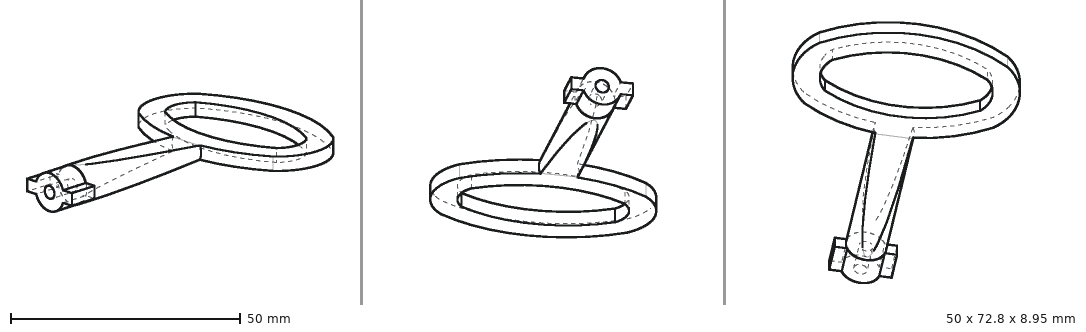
import cadquery as cq

total_length = 72.8

handle_width = 50.0
handle_height = 30.9
handle_thickness = 3.35
band_width = 6.0
outer_corner = (20.8, 9.25)
inner_corner = (17.2, 4.65)
handle_center_y = total_length - handle_height / 2
handle_bottom_y = total_length - handle_height

shank_diameter = 8.95
flat_end_y = 7.9
shank_overlap = 1.45

tip_diameter = 8.8
tip_length = 7.0
wing_span = 13.8
wing_thickness = 2.9
bore_diameter = 3.0
bore_depth = tip_length


def oval(half_width, half_height, corner):
    """Solid oval of four arcs meeting at four symmetric corners."""
    x, y = corner
    return (
        cq.Workplane("XY")
        .center(0, handle_center_y)
        .moveTo(x, y)
        .threePointArc((0, half_height), (-x, y))
        .threePointArc((-half_width, 0), (-x, -y))
        .threePointArc((0, -half_height), (x, -y))
        .threePointArc((half_width, 0), (x, y))
        .close()
        .extrude(handle_thickness / 2, both=True)
    )


def rod(diameter, start_y, end_y):
    """Round bar along Y."""
    return (
        cq.Workplane("XZ", origin=(0, start_y, 0))
        .circle(diameter / 2)
        .extrude(start_y - end_y)
    )


def make_handle():
    half_width = handle_width / 2
    half_height = handle_height / 2
    outer = oval(half_width, half_height, outer_corner)
    opening = oval(half_width - band_width, half_height - band_width, inner_corner)
    return outer.cut(opening)


def make_shank():
    """Round bar trimmed by a side profile that narrows to the handle thickness."""
    end_y = handle_bottom_y + shank_overlap
    shank_radius = shank_diameter / 2
    half_thickness = handle_thickness / 2
    side_profile = (
        cq.Workplane("YZ")
        .polyline([
            (tip_length, -shank_radius),
            (flat_end_y, -shank_radius),
            (handle_bottom_y, -half_thickness),
            (end_y, -half_thickness),
            (end_y, half_thickness),
            (handle_bottom_y, half_thickness),
            (flat_end_y, shank_radius),
            (tip_length, shank_radius),
        ])
        .close()
        .extrude(shank_radius, both=True)
    )
    return rod(shank_diameter, tip_length, end_y).intersect(side_profile)


def make_tip():
    """Round end with a wing on each side."""
    wings = cq.Workplane("XY").box(
        wing_span, tip_length, wing_thickness, centered=(True, False, True)
    )
    return rod(tip_diameter, 0, tip_length).union(wings)


bore = rod(bore_diameter, 0, bore_depth)
result = make_handle().union(make_shank()).union(make_tip()).cut(bore)